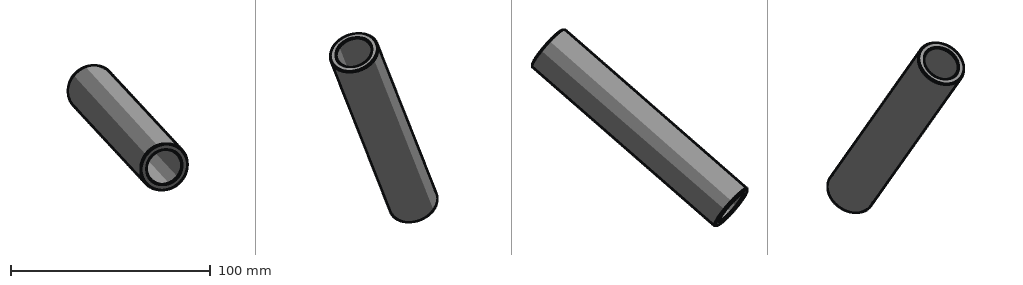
import cadquery as cq

length = 123.5
outer_diameter = 25.0
bore_diameter = 18.0
edge_chamfer = 0.5

tube = (
    cq.Workplane("YZ", origin=(-length / 2, 0, 0))
    .circle(outer_diameter / 2)
    .circle(bore_diameter / 2)
    .extrude(length)
)

result = tube.faces("<X or >X").edges().chamfer(edge_chamfer)